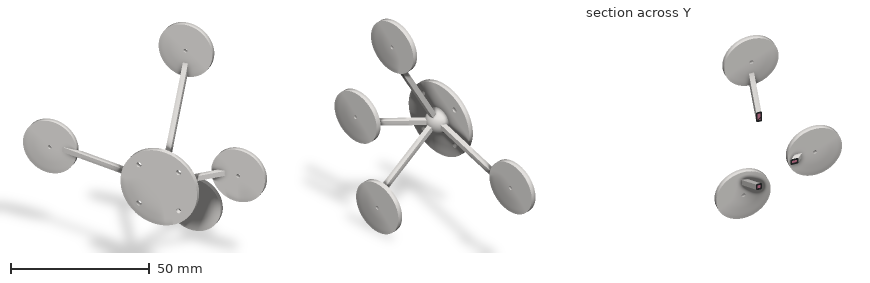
import cadquery as cq
import math

base_diameter = 30.0
plate_thickness = 2.0
mount_hole_diameter = 2.0
mount_hole_circle_diameter = 22.0

hub_radius = 5.0

pad_diameter = 21.0
pad_hole_diameter = 1.5
pad_offset = 5.0

arm_section = 2.0

arms = [
    (0.0, 45.0, 25.0),
    (90.0, 30.0, 45.0),
    (180.0, 15.0, 45.0),
    (270.0, 60.0, 35.0),
]


def disc(diameter, x, y):
    """Plate-thickness disc centred on (x, 0), its near face at height y."""
    return cq.Workplane("XZ", origin=(x, y, 0)).circle(diameter / 2).extrude(-plate_thickness)


def make_base():
    hole_pitch = mount_hole_circle_diameter / math.sqrt(2)
    return (
        disc(base_diameter, 0, 0)
        .faces("<Y")
        .workplane(centerOption="CenterOfBoundBox")
        .rect(hole_pitch, hole_pitch, forConstruction=True)
        .vertices()
        .hole(mount_hole_diameter)
    )


def make_hub():
    """Hemisphere on the back face of the base."""
    return (
        cq.Workplane("XY", origin=(0, plate_thickness, 0))
        .lineTo(hub_radius, 0)
        .threePointArc(
            (hub_radius * math.cos(math.pi / 4), hub_radius * math.sin(math.pi / 4)),
            (0, hub_radius),
        )
        .close()
        .revolve(360, (0, 0), (0, 1))
    )


def make_arm(rise, length):
    """Sloping arm along +X with its pad; the arm end is trimmed flush with the pad face."""
    slope = math.radians(rise)
    tip_x = length * math.cos(slope)
    tip_y = length * math.sin(slope)
    bar = (
        cq.Workplane("XY", origin=(0, plate_thickness, 0))
        .lineTo(tip_x, tip_y)
        .lineTo(tip_x - arm_section / math.sin(slope), tip_y)
        .lineTo(-arm_section * math.sin(slope), arm_section * math.cos(slope))
        .close()
        .extrude(arm_section / 2, both=True)
    )
    pad = (
        disc(pad_diameter, tip_x + pad_offset, plate_thickness + tip_y)
        .faces("<Y")
        .workplane(centerOption="CenterOfBoundBox")
        .hole(pad_hole_diameter)
    )
    return bar.union(pad)


result = make_base().union(make_hub())
for direction, rise, length in arms:
    arm = make_arm(rise, length).rotate((0, 0, 0), (0, 1, 0), -direction)
    result = result.union(arm)